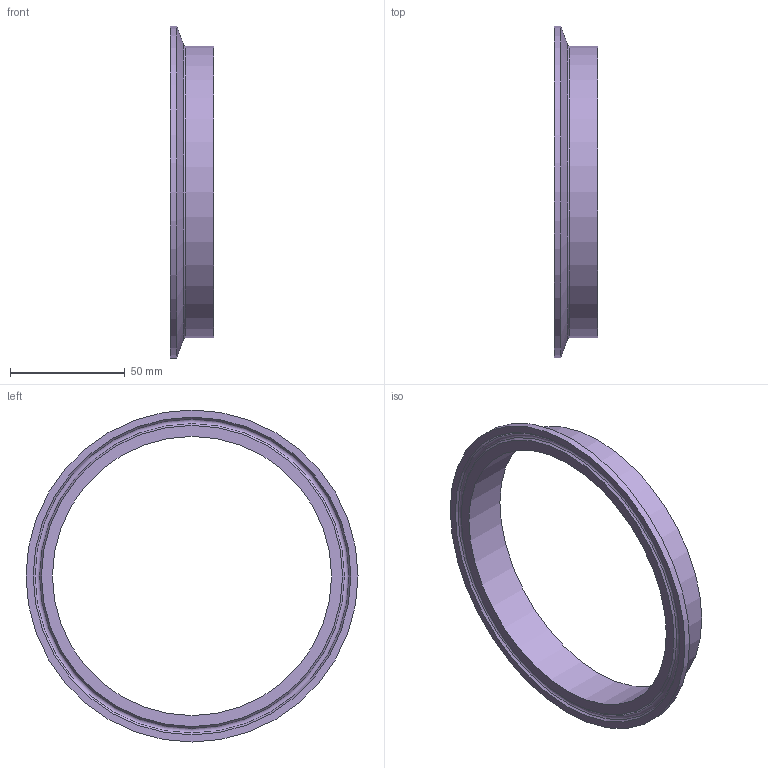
import cadquery as cq
import math

LENGTH = 19.05
FLANGE_DIAMETER = 144.45
TUBE_DIAMETER = 127.0
BORE_DIAMETER = 121.46

RIM_WIDTH = 2.85
CLAMP_ANGLE = 20.0
NECK_FILLET_RADIUS = 1.0

GROOVE_INNER_RADIUS = 65.5
GROOVE_OUTER_RADIUS = 69.1
GROOVE_WALL_ANGLE = 40.0
GROOVE_ARC_RADIUS = 1.35

FULL_TURN = 360
FLANGE_RADIUS = FLANGE_DIAMETER / 2
TUBE_RADIUS = TUBE_DIAMETER / 2
BORE_RADIUS = BORE_DIAMETER / 2


def revolve_about_x(profile):
    """Turn a closed XY profile (Y is the radius) a full circle about the X axis."""
    return profile.revolve(FULL_TURN, (0, 0, 0), (1, 0, 0))


def ferrule_body():
    """Flange rim, conical clamp face, filleted neck and straight tube, with its bore."""
    slope = math.radians(CLAMP_ANGLE)
    corner_x = RIM_WIDTH + (FLANGE_RADIUS - TUBE_RADIUS) * math.tan(slope)
    tangent_length = NECK_FILLET_RADIUS * math.tan((math.pi / 2 - slope) / 2)
    cone_end = (
        corner_x - tangent_length * math.sin(slope),
        TUBE_RADIUS + tangent_length * math.cos(slope),
    )
    tube_start = (corner_x + tangent_length, TUBE_RADIUS)

    profile = (
        cq.Workplane("XY")
        .moveTo(0, BORE_RADIUS)
        .lineTo(0, FLANGE_RADIUS)
        .lineTo(RIM_WIDTH, FLANGE_RADIUS)
        .lineTo(*cone_end)
        .radiusArc(tube_start, -NECK_FILLET_RADIUS)
        .lineTo(LENGTH, TUBE_RADIUS)
        .lineTo(LENGTH, BORE_RADIUS)
        .close()
    )
    return revolve_about_x(profile)


def gasket_groove():
    """Symmetric channel: two sloping walls joined by a tangent round bottom."""
    slope = math.radians(GROOVE_WALL_ANGLE)
    middle_radius = (GROOVE_INNER_RADIUS + GROOVE_OUTER_RADIUS) / 2
    half_width = (GROOVE_OUTER_RADIUS - GROOVE_INNER_RADIUS) / 2

    centre_x = (half_width - GROOVE_ARC_RADIUS / math.cos(slope)) / math.tan(slope)
    tangent_x = centre_x + GROOVE_ARC_RADIUS * math.sin(slope)
    tangent_offset = GROOVE_ARC_RADIUS * math.cos(slope)
    bottom = (centre_x + GROOVE_ARC_RADIUS, middle_radius)

    profile = (
        cq.Workplane("XY")
        .moveTo(0, GROOVE_OUTER_RADIUS)
        .lineTo(tangent_x, middle_radius + tangent_offset)
        .threePointArc(bottom, (tangent_x, middle_radius - tangent_offset))
        .lineTo(0, GROOVE_INNER_RADIUS)
        .close()
    )
    return revolve_about_x(profile)


result = ferrule_body().cut(gasket_groove())